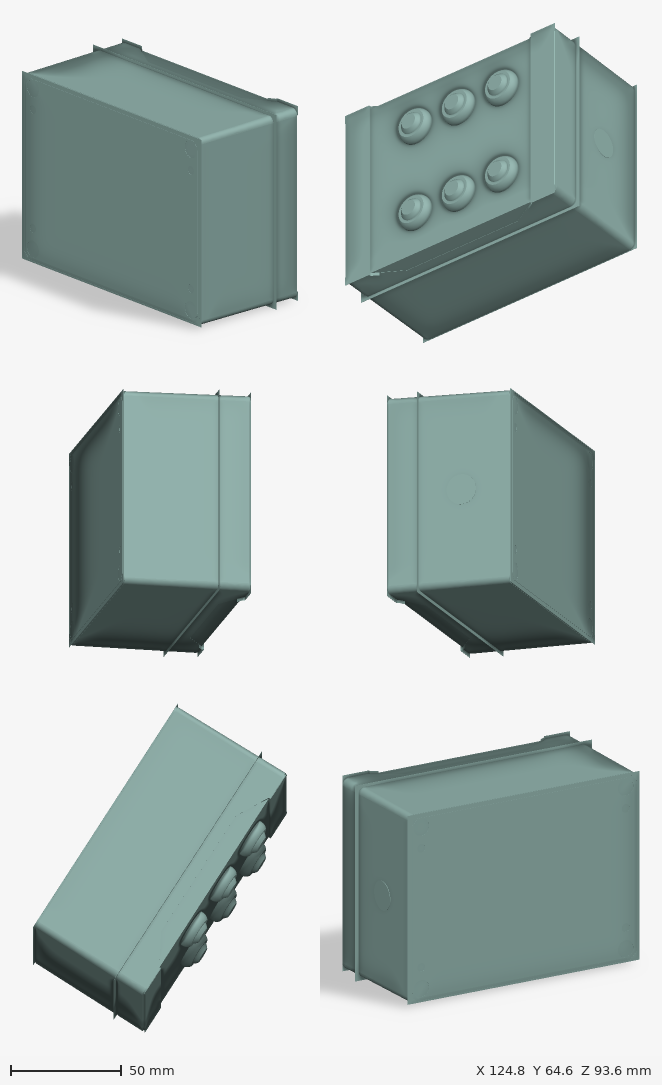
import cadquery as cq
import math


LID_FACE_Y = 58.2
BACK_HALF_X = 60.5
BACK_HALF_Z = 45.4
CORNER_RADIUS = 3.0
SIDE_DRAFT = 0.5
DRAFT_ANGLE = math.degrees(math.atan(SIDE_DRAFT / LID_FACE_Y))

SHEET_THICKNESS = 0.1
FLANGE_SIZE_X = 124.8
FLANGE_SIZE_Z = 93.6
FLANGE_Y = 44.0
FRONT_SHEET_SIZE_X = 122.2
FRONT_SHEET_SIZE_Z = 90.2

SHALLOW = 0.1
JOINT_WIDTH = 0.9
FOOT_HEIGHT = 1.0

RING_OUTER_X = 59.75
RING_OUTER_Z = 44.4
RING_WIDTH = 1.4
RING_CORNER = 3.6
RING_RUN_X = 54.5
RING_RUN_Z = 39.2
RING_RUN_DEPTH = 0.15

RECESS_X = 53.8
SCREW_RECESS_Z = 38.6
SCREW_RECESS_RADIUS = 4.05
MOUNT_RECESS_Z = 28.5
MOUNT_RECESS_RADIUS = 2.05

FLAP_INNER_X = 46.1
FLAP_OUTER_X = 59.9
FLAP_THICKNESS = 1.0
FLAP_Y = LID_FACE_Y + FLAP_THICKNESS
FLAP_CHAMFER = 0.4
LIP_END_Y = 56.2
SLOPE_END_X = 31.6
SLOPE_END_Y = 49.9
SLOPE_RUN = FLAP_INNER_X - SLOPE_END_X
LIP_END_X = FLAP_INNER_X - SLOPE_RUN * (LID_FACE_Y - LIP_END_Y) / (LID_FACE_Y - SLOPE_END_Y)

GLAND_X = (-29.8, -5.1, 19.6)
GLAND_Z = 23.8
GLAND_TOP_Y = 64.59
GLAND_RADIUS = 8.85
GLAND_COLLAR_Y = 59.2
GLAND_SHOULDER_Y = 62.6
GLAND_SHOULDER_RADIUS = 7.1
GLAND_CAP_BASE_RADIUS = 5.6
GLAND_CAP_TOP_RADIUS = 3.8
GLAND_DOME_BULGE = 0.45
GLAND_CAP_BULGE = 0.15

KNOCKOUT_Y = 23.6
KNOCKOUT_RADIUS = 7.0
KNOCKOUT_HEIGHT = 0.1
KNOCKOUT_EMBED = 1.0


def wall_half(back_half, y):
    """Half width of the drafted body at depth y."""
    return back_half - SIDE_DRAFT * (1 - y / LID_FACE_Y)


def slab(size_x, size_z, y_start, y_end):
    """Rectangular plate centred on the Y axis."""
    size_y = y_end - y_start
    return cq.Workplane("XY").box(size_x, size_y, size_z).translate((0, (y_start + y_end) / 2, 0))


def wall_band(y_start, y_end):
    """Shallow band around the body, used to cut it back between two depths."""
    half_x = wall_half(BACK_HALF_X, y_start) - SHALLOW
    half_z = wall_half(BACK_HALF_Z, y_start) - SHALLOW
    core = slab(2 * half_x, 2 * half_z, y_start, y_end).edges("|Y").fillet(CORNER_RADIUS)
    return slab(FLANGE_SIZE_X, FLANGE_SIZE_Z, y_start, y_end).cut(core)


def make_body():
    body = (
        cq.Workplane("XZ", origin=(0, LID_FACE_Y, 0))
        .sketch()
        .rect(2 * BACK_HALF_X, 2 * BACK_HALF_Z)
        .vertices()
        .fillet(CORNER_RADIUS)
        .finalize()
        .extrude(LID_FACE_Y, taper=DRAFT_ANGLE)
    )
    body = body.cut(wall_band(0, FOOT_HEIGHT))
    joint_y = FLANGE_Y + SHEET_THICKNESS
    return body.cut(wall_band(joint_y, joint_y + JOINT_WIDTH))


def lid_slope_recess(side):
    """Shallow trapezoid between the flaps on the wall facing side * Z."""
    outline = [
        (-FLAP_INNER_X, LID_FACE_Y),
        (-SLOPE_END_X, SLOPE_END_Y),
        (SLOPE_END_X, SLOPE_END_Y),
        (FLAP_INNER_X, LID_FACE_Y),
    ]
    floor_z = wall_half(BACK_HALF_Z, SLOPE_END_Y) - SHALLOW
    prism = cq.Workplane("XY").polyline(outline).close().extrude(BACK_HALF_Z - floor_z)
    prism = prism.translate((0, 0, floor_z))
    return prism if side > 0 else prism.mirror("XY")


def make_flap(side):
    """Raised end of the lid with lips along both long walls, at the side * X end."""
    flap = (
        slab(FLAP_OUTER_X - FLAP_INNER_X, 2 * BACK_HALF_Z, LID_FACE_Y, FLAP_Y)
        .translate(((FLAP_INNER_X + FLAP_OUTER_X) / 2, 0, 0))
        .edges(">X and |Y")
        .fillet(CORNER_RADIUS)
        .faces(">Y")
        .edges(">X")
        .chamfer(FLAP_CHAMFER)
    )
    lip_outline = [
        (FLAP_OUTER_X, FLAP_Y),
        (FLAP_INNER_X, FLAP_Y),
        (FLAP_INNER_X, LID_FACE_Y),
        (LIP_END_X, LIP_END_Y),
        (LIP_END_X + SHEET_THICKNESS, LIP_END_Y),
        (FLAP_INNER_X + SHEET_THICKNESS, LID_FACE_Y),
        (FLAP_INNER_X + SHEET_THICKNESS, FLAP_Y - SHEET_THICKNESS),
        (FLAP_OUTER_X, FLAP_Y - SHEET_THICKNESS),
    ]
    lip_root_z = BACK_HALF_Z - CORNER_RADIUS
    lip_height = FLANGE_SIZE_Z / 2 - lip_root_z
    lip = cq.Workplane("XY").polyline(lip_outline).close().extrude(lip_height)
    lip = lip.translate((0, 0, lip_root_z))
    flap = flap.union(lip).union(lip.mirror("XY"))
    return flap if side > 0 else flap.mirror("YZ")


def ring_outline(inset, depth):
    """Rectangle with cut corners, extruded into the mounting face."""
    half_x = RING_OUTER_X - inset
    half_z = RING_OUTER_Z - inset
    corner = RING_CORNER - (2 - math.sqrt(2)) * inset
    return slab(2 * half_x, 2 * half_z, 0, depth).edges("|Y").chamfer(corner)


def make_ring_groove():
    """Seal groove, deeper along the straight runs than around the corners."""
    corners = ring_outline(0, SHALLOW).cut(ring_outline(RING_WIDTH, SHALLOW))
    ring = ring_outline(0, RING_RUN_DEPTH).cut(ring_outline(RING_WIDTH, RING_RUN_DEPTH))
    run_x = slab(2 * RING_RUN_X, FLANGE_SIZE_Z, 0, RING_RUN_DEPTH)
    run_z = slab(FLANGE_SIZE_X, 2 * RING_RUN_Z, 0, RING_RUN_DEPTH)
    return corners.union(ring.intersect(run_x.union(run_z)))


def make_face_recesses(center_z, radius):
    """Four shallow round recesses in the mounting face."""
    return (
        cq.Workplane("XZ")
        .rect(2 * RECESS_X, 2 * center_z, forConstruction=True)
        .vertices()
        .circle(radius)
        .extrude(-SHALLOW)
    )


def arc_middle(start, end, bulge):
    """Point beside the chord middle, pushed outward along the chord normal."""
    dr = end[0] - start[0]
    dy = end[1] - start[1]
    length = math.hypot(dr, dy)
    return (
        (start[0] + end[0]) / 2 + bulge * dy / length,
        (start[1] + end[1]) / 2 - bulge * dr / length,
    )


def make_gland():
    """Stepped dome revolved about the Y axis."""
    collar = (GLAND_RADIUS, GLAND_COLLAR_Y)
    shoulder = (GLAND_SHOULDER_RADIUS, GLAND_SHOULDER_Y)
    cap_base = (GLAND_CAP_BASE_RADIUS, GLAND_SHOULDER_Y)
    cap_top = (GLAND_CAP_TOP_RADIUS, GLAND_TOP_Y)
    return (
        cq.Workplane("XY")
        .moveTo(0, LID_FACE_Y - SHEET_THICKNESS)
        .lineTo(GLAND_RADIUS, LID_FACE_Y - SHEET_THICKNESS)
        .lineTo(*collar)
        .threePointArc(arc_middle(collar, shoulder, GLAND_DOME_BULGE), shoulder)
        .lineTo(*cap_base)
        .threePointArc(arc_middle(cap_base, cap_top, GLAND_CAP_BULGE), cap_top)
        .lineTo(0, GLAND_TOP_Y)
        .close()
        .revolve(360, (0, 0, 0), (0, 1, 0))
    )


def make_knockout():
    """Round knockout standing slightly proud of the drafted -X wall."""
    wall_x = -wall_half(BACK_HALF_X, KNOCKOUT_Y + KNOCKOUT_RADIUS)
    return (
        cq.Workplane("YZ", origin=(wall_x + KNOCKOUT_EMBED, 0, 0))
        .center(KNOCKOUT_Y, 0)
        .circle(KNOCKOUT_RADIUS)
        .extrude(-(KNOCKOUT_EMBED + KNOCKOUT_HEIGHT))
    )


result = make_body()
for side in (-1, 1):
    result = result.cut(lid_slope_recess(side))
for side in (-1, 1):
    result = result.union(make_flap(side))

result = result.union(slab(FLANGE_SIZE_X, FLANGE_SIZE_Z, FLANGE_Y, FLANGE_Y + SHEET_THICKNESS))
result = result.union(slab(FRONT_SHEET_SIZE_X, FRONT_SHEET_SIZE_Z, 0, SHEET_THICKNESS))

result = result.cut(make_ring_groove())
result = result.cut(make_face_recesses(SCREW_RECESS_Z, SCREW_RECESS_RADIUS))
result = result.cut(make_face_recesses(MOUNT_RECESS_Z, MOUNT_RECESS_RADIUS))

gland = make_gland()
for gland_x in GLAND_X:
    for gland_z in (-GLAND_Z, GLAND_Z):
        result = result.union(gland.translate((gland_x, 0, gland_z)))

result = result.union(make_knockout())